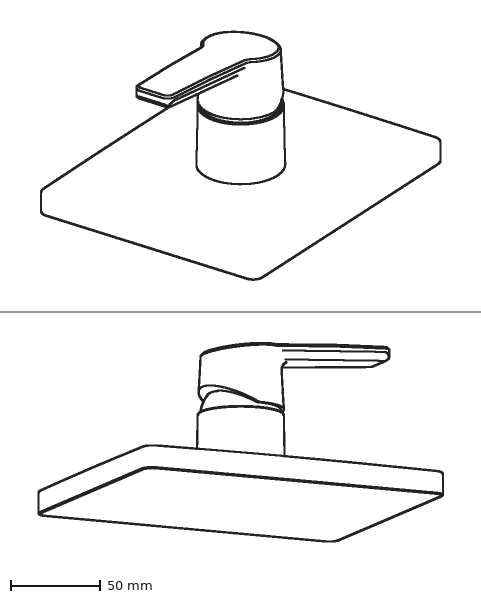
import cadquery as cq

plate_width = 150.0
plate_length = 185.0
plate_corner_radius = 6.5
plate_top = 14.2
crown_radius = 6474.0
plate_edge_round = 1.1
plate_bottom_chamfer = 0.5

column_base_radius = 25.0
column_foot_height = 13.0
column_top_radius = 24.2
column_top = 51.8
column_lip = 0.5
neck_radius = 23.0
dome_mid = (21.3, 57.9)
dome_end = (18.7, 62.5)

head_bottom = 54.5
head_bottom_radius = 24.2
head_top_radius = 21.8
head_blank_top = 98.0
relief_back_height = 65.8
handle_top_back = (24.5, 85.5)
handle_top_mid = (-21.0, 91.0)
total_height = 95.5
handle_edge_chamfer = 1.3

lever_tip = -87.7
lever_tip_half_width = 12.4
lever_root_half_width = 16.6
lever_bottom_inset = 2.5
lever_bevel_height = 4.6
lever_root_bottom = 80.8
lever_tip_bottom = 87.9
lever_corner_radius = 5.2
tip_bevel = 2.5
root_blend = 5.5
selection_margin = 0.2
junction_inner_offset = 14.8


def make_plate():
    slab = (
        cq.Workplane("XY")
        .rect(plate_width, plate_length)
        .extrude(plate_top)
        .edges("|Z")
        .fillet(plate_corner_radius)
    )
    crown = (
        cq.Workplane("XY", origin=(0, 0, plate_top - crown_radius))
        .sphere(crown_radius, direct=(0, 1, 0))
    )
    return (
        slab.intersect(crown)
        .faces(">Z").edges().fillet(plate_edge_round)
        .faces("<Z").edges().chamfer(plate_bottom_chamfer)
    )


def make_column():
    return (
        cq.Workplane("XZ")
        .lineTo(column_base_radius, 0)
        .lineTo(column_base_radius, column_foot_height)
        .lineTo(column_top_radius, column_top - column_lip)
        .lineTo(column_top_radius - column_lip, column_top)
        .lineTo(neck_radius, column_top)
        .threePointArc(dome_mid, dome_end)
        .lineTo(0, dome_end[1])
        .close()
        .revolve(360, (0, 0, 0), (0, 1, 0))
    )


def make_head():
    """Tapered round body, left tall so that the handle top can be trimmed in one piece."""
    return (
        cq.Workplane("XY", origin=(0, 0, head_bottom))
        .circle(head_bottom_radius)
        .workplane(offset=head_blank_top - head_bottom)
        .circle(head_top_radius)
        .loft()
    )


def lever_section(half_width, bottom):
    bottom_half_width = half_width - lever_bottom_inset
    bevel_top = bottom + lever_bevel_height
    return [
        (-bottom_half_width, bottom),
        (bottom_half_width, bottom),
        (half_width, bevel_top),
        (half_width, head_blank_top),
        (-half_width, head_blank_top),
        (-half_width, bevel_top),
    ]


def make_lever():
    blade = (
        cq.Workplane("XZ")
        .polyline(lever_section(lever_root_half_width, lever_root_bottom))
        .close()
        .workplane(offset=-lever_tip)
        .polyline(lever_section(lever_tip_half_width, lever_tip_bottom))
        .close()
        .loft(ruled=True)
    )
    blade = blade.faces("<Y").edges("<Z").chamfer(tip_bevel)
    corners = blade.edges(
        cq.selectors.BoxSelector(
            (-plate_width, lever_tip - selection_margin, lever_tip_bottom + lever_bevel_height),
            (plate_width, lever_tip + selection_margin, head_blank_top - selection_margin),
        )
    )
    return corners.fillet(lever_corner_radius)


def make_handle():
    handle = make_head().union(make_lever())
    below_top = (
        cq.Workplane("YZ")
        .moveTo(plate_length, 0)
        .lineTo(lever_tip, 0)
        .lineTo(lever_tip, total_height)
        .threePointArc(handle_top_mid, handle_top_back)
        .lineTo(plate_length, handle_top_back[1])
        .close()
        .extrude(plate_width / 2, both=True)
    )
    handle = handle.intersect(below_top)
    back_relief = (
        cq.Workplane("YZ")
        .moveTo(0, head_bottom)
        .lineTo(head_bottom_radius, relief_back_height)
        .lineTo(head_bottom_radius, head_bottom)
        .close()
        .extrude(plate_width / 2, both=True)
    )
    handle = handle.cut(back_relief)
    lever_junction = cq.selectors.BoxSelector(
        (-lever_root_half_width, -head_bottom_radius, lever_root_bottom),
        (lever_root_half_width, -junction_inner_offset, handle_top_mid[1]),
    )
    handle = handle.edges(lever_junction).fillet(root_blend)
    top_face = cq.selectors.BoxSelector(
        (-head_top_radius / 2, lever_tip / 2, handle_top_back[1]),
        (head_top_radius / 2, 0, total_height),
    )
    return handle.faces(top_face).edges().chamfer(handle_edge_chamfer)


result = make_plate().union(make_column()).union(make_handle())